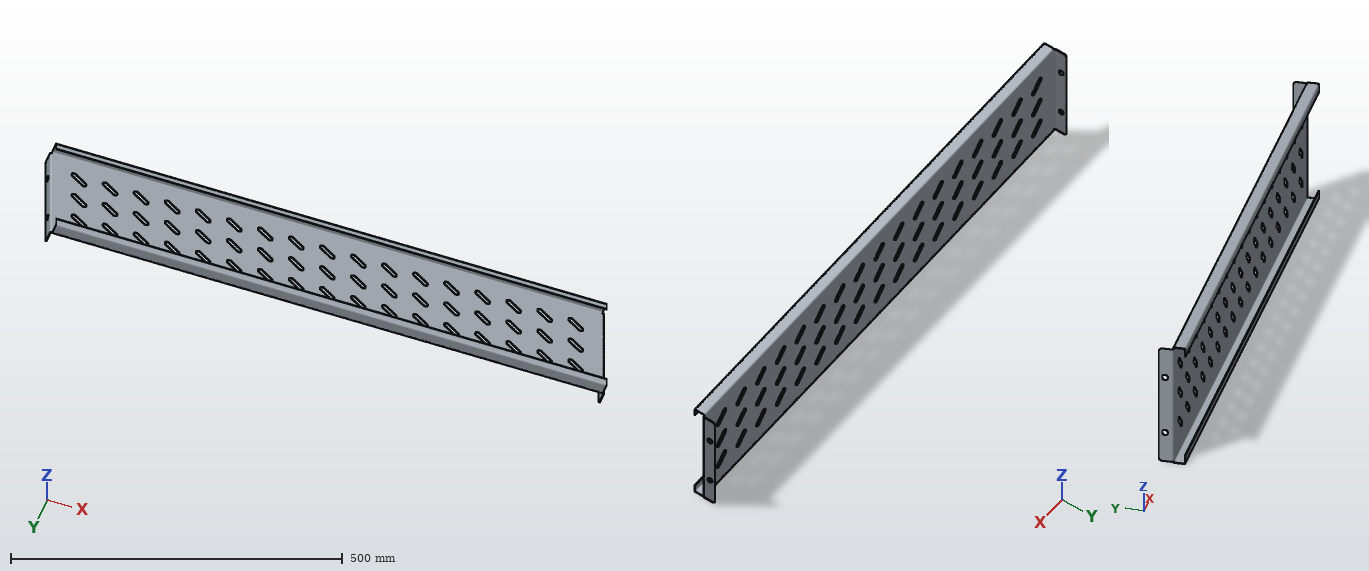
import cadquery as cq

LENGTH = 892.0
DEPTH = 41.0
HEIGHT = 197.0

SHEET = 1.5
INNER_BEND = 1.5
OUTER_BEND = INNER_BEND + SHEET

CHANNEL_DEPTH = 20.0
LIP_HEIGHT = 14.0
CHANNEL_LENGTH = LENGTH - 2 * OUTER_BEND

FLANGE_DEPTH = DEPTH - CHANNEL_DEPTH + SHEET
FLANGE_HEIGHT = HEIGHT - 2 * OUTER_BEND
FLANGE_CORNER_RADIUS = 5.0

HOLE_DIAMETER = 9.0
HOLE_SPACING = 94.0
HOLE_TO_FREE_EDGE = 10.0

SLOT_COLUMNS = 17
SLOT_ROWS = 3
SLOT_PITCH = 50.0
SLOT_LENGTH = 30.0
SLOT_WIDTH = 8.0
SLOT_ANGLE = -45


def block(length, y_min, y_max, height):
    """Box centred in X and Z that spans y_min to y_max."""
    depth = y_max - y_min
    return cq.Workplane("XY").box(length, depth, height).translate((0, (y_min + y_max) / 2, 0))


def make_channel():
    """Web with the long walls and return lips: a C section along X."""
    front = SHEET - CHANNEL_DEPTH
    outside = block(CHANNEL_LENGTH, front, SHEET, HEIGHT).edges("|X").fillet(OUTER_BEND)
    inside = block(CHANNEL_LENGTH, front + SHEET, 0, HEIGHT - 2 * SHEET).edges("|X").fillet(INNER_BEND)
    mouth = block(CHANNEL_LENGTH, front, front + 2 * SHEET, HEIGHT - 2 * LIP_HEIGHT)
    return outside.cut(inside).cut(mouth)


def make_end_flanges():
    """Web with the two end flanges: a U section along Z, open towards +Y."""
    outside = block(LENGTH, 0, FLANGE_DEPTH, FLANGE_HEIGHT)
    outside = outside.edges("|Z and <Y").fillet(OUTER_BEND)
    outside = outside.edges("|X and >Y").fillet(FLANGE_CORNER_RADIUS)
    inside = block(LENGTH - 2 * SHEET, SHEET, FLANGE_DEPTH, FLANGE_HEIGHT)
    inside = inside.edges("|Z and <Y").fillet(INNER_BEND)
    return outside.cut(inside)


def make_web_slots():
    """Grid of diagonal slots running through the web."""
    return (
        cq.Workplane("XZ", origin=(0, 2 * SHEET, 0))
        .rarray(SLOT_PITCH, SLOT_PITCH, SLOT_COLUMNS, SLOT_ROWS)
        .slot2D(SLOT_LENGTH, SLOT_WIDTH, SLOT_ANGLE)
        .extrude(3 * SHEET)
    )


def make_flange_holes():
    """Two round holes running through both end flanges."""
    hole_y = FLANGE_DEPTH - HOLE_TO_FREE_EDGE
    return (
        cq.Workplane("YZ")
        .pushPoints([(hole_y, side * HOLE_SPACING / 2) for side in (-1, 1)])
        .circle(HOLE_DIAMETER / 2)
        .extrude(LENGTH, both=True)
    )


sheet = make_channel().union(make_end_flanges())
result = sheet.cut(make_web_slots()).cut(make_flange_holes())